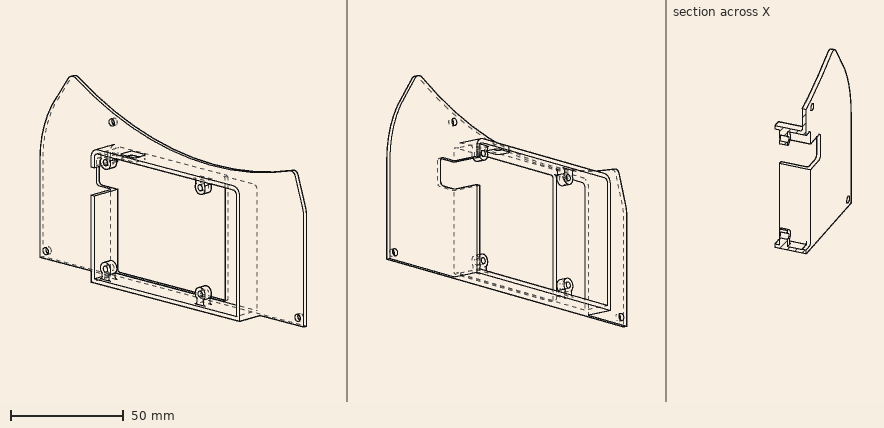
import cadquery as cq
import math

width = 161.8
plate_thickness = 2.0
frame_depth = 13.1

left_arc_start = 45.0
left_arc_end = (7.3, 71.5)
left_peak_x = 19.3
right_arc_start = 50.2
right_arc_middle = (161.7, 52.8)
right_arc_end = (161.0, 55.3)
right_peak_x = 155.8
top_arc_radius = 161.8
top_arc_low = (106.3, 63.3)
left_peak_fillet = 3.5
right_peak_fillet = 2.5

frame_left = 44.0
frame_right = 135.1
frame_top = 61.8
wall = 2.0
frame_corner_radius = 4.0
base_flare = 1.0

window_right = 113.6
window_sill = 0.2
window_corner_radius = 1.3
slot_left = 34.6
slot_bottom = 40.1
slot_top = 53.0
slot_corner_radius = 2.0
port_left = 60.0
port_width = 9.0
port_rear = -3.9
port_depth = 7.5
port_corner_radius = 1.3

plate_hole_diameter = 3.2
plate_holes = [(3.5, 3.5), (158.1, 3.5), (44.0, 70.9)]

lug_columns = (50.8, 108.9)
lower_lug_z = 7.0
upper_lug_z = 56.0
lug_radius = 3.0
lug_hole_diameter = 2.8
lower_neck_width = 4.2
upper_neck_width = 5.5
neck_fillet = 1.0
lug_front = -11.0
lug_thickness = 4.0

cavity_left = frame_left + wall
cavity_right = frame_right - wall
cavity_top = frame_top - wall
cavity_bottom = wall


def sketch_at(y):
    """XZ workplane at y; extruding a positive length goes toward -Y."""
    return cq.Workplane(cq.Plane(origin=(0, y, 0), xDir=(1, 0, 0), normal=(0, -1, 0)))


def block(x0, x1, z0, z1, y0, y1):
    return cq.Workplane("XY").box(x1 - x0, y1 - y0, z1 - z0, centered=False).translate((x0, y0, z0))


def top_arc_point(x):
    offset = x - top_arc_low[0]
    sag = top_arc_radius - math.sqrt(top_arc_radius**2 - offset**2)
    return (x, top_arc_low[1] + sag)


def outline_prism(y_front, y_rear):
    """Plate outline extruded between two depths, with both top peaks rounded."""
    left_peak = top_arc_point(left_peak_x)
    right_peak = top_arc_point(right_peak_x)
    prism = (
        sketch_at(y_rear)
        .moveTo(0, 0)
        .lineTo(0, left_arc_start)
        .tangentArcPoint(left_arc_end, relative=False)
        .lineTo(*left_peak)
        .threePointArc(top_arc_low, right_peak)
        .lineTo(*right_arc_end)
        .threePointArc(right_arc_middle, (width, right_arc_start))
        .lineTo(width, 0)
        .close()
        .extrude(y_rear - y_front)
    )
    for peak, radius in ((left_peak, left_peak_fillet), (right_peak, right_peak_fillet)):
        middle = (peak[0], (y_front + y_rear) / 2, peak[1])
        prism = prism.edges(cq.selectors.NearestToPointSelector(middle)).fillet(radius)
    return prism


def make_flared_body():
    """Plate and solid frame block, flared where they meet and trimmed to the outline."""
    sheet = block(0, width, 0, width, 0, plate_thickness)
    frame = block(frame_left, frame_right, 0, frame_top, -frame_depth, 0)
    frame = frame.edges("|Y and >Z").fillet(frame_corner_radius)
    body = sheet.union(frame)
    root = cq.selectors.BoxSelector(
        (frame_left - wall, -wall / 2, wall),
        (frame_right + wall, wall / 2, frame_top + wall),
    )
    junction = body.edges(root)
    body = junction.fillet(base_flare)
    return body.intersect(outline_prism(-frame_depth, plate_thickness))


def make_lug(x, z, wall_z, neck_width):
    """Round lug joined to a horizontal wall by a neck flared at its root."""
    direction = math.copysign(1, wall_z - z)
    root_z = wall_z + direction * wall / 2
    neck_half = neck_width / 2
    rear = lug_front + lug_thickness
    lug = sketch_at(rear).center(x, z).circle(lug_radius).extrude(lug_thickness)
    neck = block(x - neck_half, x + neck_half, min(z, root_z), max(z, root_z), lug_front, rear)
    lug = lug.union(neck)
    for side in (-1, 1):
        edge_x = x + side * neck_half
        tip_x = edge_x + side * neck_fillet
        tip_z = wall_z - direction * neck_fillet
        bend = neck_fillet * (1 - math.sqrt(0.5))
        flare = (
            sketch_at(rear)
            .moveTo(edge_x, wall_z)
            .lineTo(tip_x, wall_z)
            .threePointArc((edge_x + side * bend, wall_z - direction * bend), (edge_x, tip_z))
            .close()
            .extrude(lug_thickness)
        )
        lug = lug.union(flare)
    return lug


cavity = block(cavity_left, cavity_right, cavity_bottom, cavity_top, -frame_depth, 0)
cavity = cavity.edges("|Y and >Z").fillet(frame_corner_radius - wall)
result = make_flared_body().cut(cavity)

window = block(cavity_left, window_right, cavity_bottom + window_sill, cavity_top, 0, plate_thickness)
result = result.cut(window.edges("|Y").fillet(window_corner_radius))

slot = block(slot_left, cavity_left + wall, slot_bottom, slot_top, -frame_depth, plate_thickness)
result = result.cut(slot.edges("|Y and <X").fillet(slot_corner_radius))

port = block(port_left, port_left + port_width, cavity_top - wall, frame_top + wall,
             port_rear - port_depth, port_rear)
result = result.cut(port.edges("|Z").fillet(port_corner_radius))

for lug_x in lug_columns:
    result = result.union(make_lug(lug_x, lower_lug_z, cavity_bottom, lower_neck_width))
    result = result.union(make_lug(lug_x, upper_lug_z, cavity_top, upper_neck_width))
lug_holes = [(x, z) for x in lug_columns for z in (lower_lug_z, upper_lug_z)]
lug_drill = sketch_at(0).pushPoints(lug_holes).circle(lug_hole_diameter / 2).extrude(frame_depth)
result = result.cut(lug_drill)

plate_drill = (
    sketch_at(plate_thickness)
    .pushPoints(plate_holes)
    .circle(plate_hole_diameter / 2)
    .extrude(plate_thickness)
)
result = result.cut(plate_drill)